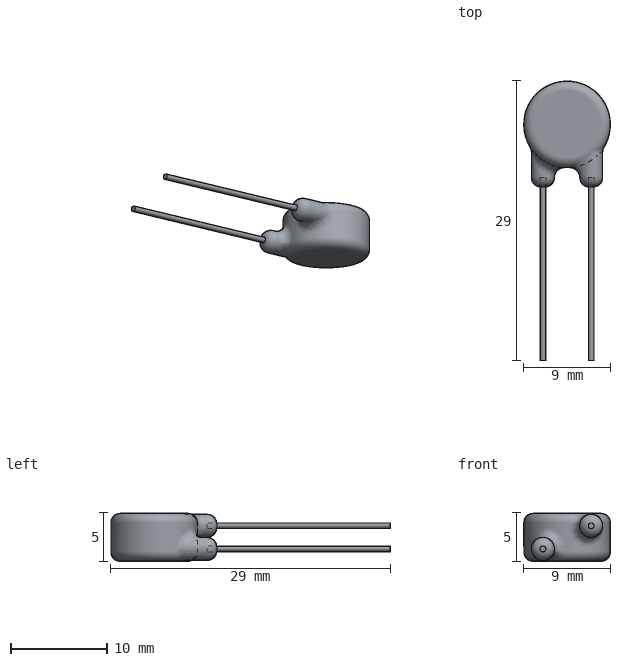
import cadquery as cq

disc_diameter = 9.0
disc_thickness = 5.0
disc_edge_radius = 1.0

sleeve_radius = 1.2
sleeve_end_radius = 1.0
sleeve_reach = 2.0
blend_radius = 1.0

lead_diameter = 0.6
lead_pitch_x = 5.0
lead_pitch_z = 2.4
lead_free_length = 18.0

sleeve_tip_y = -(disc_diameter / 2 + sleeve_reach)
sleeve_dome_y = sleeve_tip_y + sleeve_end_radius
lead_tip_y = sleeve_tip_y - lead_free_length

lead_centres = [(side * lead_pitch_x / 2, side * lead_pitch_z / 2) for side in (-1, 1)]


def rod(centre, radius, start_y, end_y):
    """Cylinder along Y from start_y to the lower end_y, centred at (x, z)."""
    x, z = centre
    return (
        cq.Workplane("XZ", origin=(x, start_y, z))
        .circle(radius)
        .extrude(start_y - end_y)
    )


def make_disc():
    return (
        cq.Workplane("XY", origin=(0, 0, -disc_thickness / 2))
        .circle(disc_diameter / 2)
        .extrude(disc_thickness)
        .edges("%CIRCLE")
        .fillet(disc_edge_radius)
    )


def make_sleeve(centre):
    """Sleeve rooted inside the disc, with a domed free end."""
    return rod(centre, sleeve_radius, 0, sleeve_tip_y).faces("<Y").edges().fillet(sleeve_end_radius)


def make_coating():
    """Disc with both sleeves joined on and their seams blended."""
    coating = make_disc()
    for centre in lead_centres:
        coating = coating.union(make_sleeve(centre))
    seams = [edge for edge in coating.edges().vals() if edge.geomType() == "BSPLINE"]
    return coating.newObject(seams).fillet(blend_radius)


def make_lead(centre):
    return rod(centre, lead_diameter / 2, sleeve_dome_y, lead_tip_y)


leads = [make_lead(centre) for centre in lead_centres]

coating = make_coating()
for lead in leads:
    coating = coating.cut(lead)

result = cq.Compound.makeCompound([coating.solids().val(), *[lead.val() for lead in leads]])